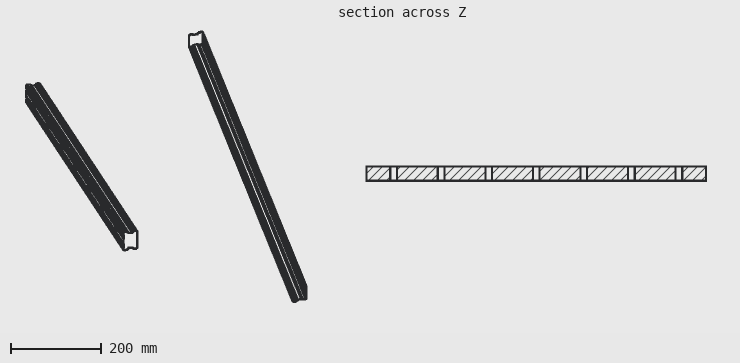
import cadquery as cq

length = 750.0
height = 32.0
width = 45.0

hole_diameter = 14.0
hole_pitch = 105.0
hole_count = 7

top = height / 2
base = -height / 2
head_land_bottom = 8.0
knee_height = 5.5
waist_top = 4.25
waist_bottom = -3.5
foot_land_top = -7.75

half_width = width / 2
knee_half_width = half_width - 3.0
waist_half_width = half_width - 4.0

head_chamfer_height = 3.5
head_chamfer_depth = 3.0
foot_chamfer = 2.0

groove_inner = 7.25
groove_outer = 15.0
groove_depth = 1.0


def make_rail_body():
    """Extrude the cross-section, symmetric about the XY plane, along X."""
    upper_flank = [
        (top, half_width - head_chamfer_depth),
        (top - head_chamfer_height, half_width),
        (head_land_bottom, half_width),
        (knee_height, knee_half_width),
        (waist_top, waist_half_width),
        (waist_bottom, waist_half_width),
        (foot_land_top, half_width),
        (base + foot_chamfer, half_width),
        (base, half_width - foot_chamfer),
    ]
    lower_flank = [(y, -z) for y, z in reversed(upper_flank)]
    profile = cq.Workplane("YZ").polyline(upper_flank + lower_flank).close()
    return profile.extrude(length / 2, both=True)


def make_base_groove(side):
    """Relief groove along the base, on the +Z (side=1) or -Z (side=-1) half."""
    groove_width = groove_outer - groove_inner
    groove_center = side * (groove_inner + groove_outer) / 2
    groove = cq.Workplane("XY").box(length, groove_depth, groove_width)
    return groove.translate((0, base + groove_depth / 2, groove_center))


def make_mounting_holes():
    """Row of through holes along the rail, centred on its length."""
    row_count = 1
    row_spacing = 1.0
    holes = cq.Workplane("XZ", origin=(0, top, 0))
    holes = holes.rarray(hole_pitch, row_spacing, hole_count, row_count)
    return holes.circle(hole_diameter / 2).extrude(height)


result = make_rail_body()
for side in (1, -1):
    result = result.cut(make_base_groove(side))
result = result.cut(make_mounting_holes())